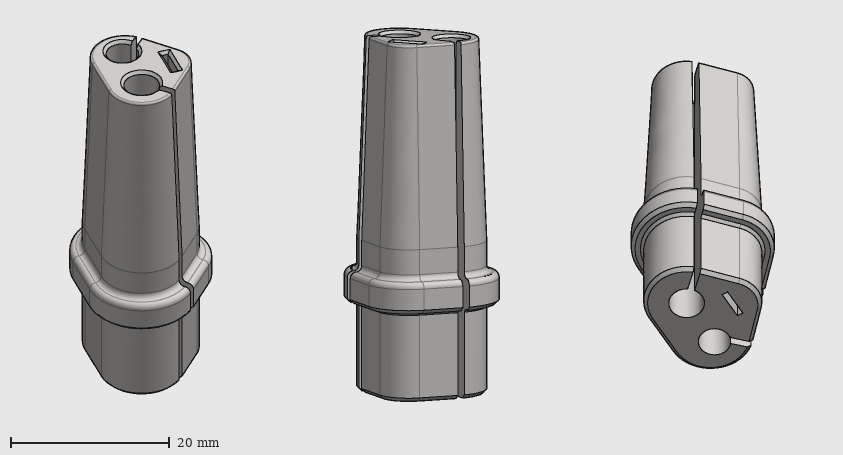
import cadquery as cq
import math

LOWER_CENTER_X = 3.0
LOWER_RADIUS = 5.42
UPPER_CENTER_Y = 4.575
UPPER_RADIUS = 4.02

TOTAL_HEIGHT = 45.5
TAPER_START = 19.5
TAPER_INSET = 1.02

FLANGE_BOTTOM = 11.5
FLANGE_TOP = 15.5
FLANGE_OVERHANG = 1.58
FLANGE_TOP_FILLET = FLANGE_OVERHANG / 2
FLANGE_LOWER_CHAMFER = 0.5
FLANGE_ROOT_CHAMFER = 0.4

BOTTOM_CHAMFER = 0.5
TOP_FILLET = 0.3

CABLE_HOLES = [(-4.0, 4.1), (3.0, 4.5)]
HOLE_CHAMFER = 0.4

ENTRY_SLOT_WIDTH = 0.9
ENTRY_SLOT_ANGLE = 45.0
ENTRY_SLOT_REACH = 12.0

STRAP_CENTER_Y = 4.95
STRAP_LENGTH = 3.8
STRAP_WIDTH = 0.8
STRAP_CHAMFER = 0.4


def outline(offset, height):
    """Closed rounded-triangle outline at the given height, grown outward by offset."""
    lower_radius = LOWER_RADIUS + offset
    upper_radius = UPPER_RADIUS + offset
    spacing = math.hypot(LOWER_CENTER_X, UPPER_CENTER_Y)
    toward_upper = math.atan2(UPPER_CENTER_Y, -LOWER_CENTER_X)
    normal = toward_upper - math.acos((LOWER_RADIUS - UPPER_RADIUS) / spacing)
    lower_middle_angle = (normal - math.pi / 2) / 2

    def lower_point(angle):
        return (LOWER_CENTER_X + lower_radius * math.cos(angle), lower_radius * math.sin(angle))

    def mirrored(point):
        return (-point[0], point[1])

    upper_point = (upper_radius * math.cos(normal), UPPER_CENTER_Y + upper_radius * math.sin(normal))
    side_start = lower_point(normal)
    side_middle = lower_point(lower_middle_angle)
    base_end = lower_point(-math.pi / 2)
    return (
        cq.Workplane("XY", origin=(0, 0, height))
        .moveTo(*mirrored(base_end))
        .lineTo(*base_end)
        .threePointArc(side_middle, side_start)
        .lineTo(*upper_point)
        .threePointArc((0, UPPER_CENTER_Y + upper_radius), mirrored(upper_point))
        .lineTo(*mirrored(side_start))
        .threePointArc(mirrored(side_middle), mirrored(base_end))
        .close()
    )


def frustum(bottom_offset, bottom, top_offset, top):
    """Solid whose outline changes evenly from one offset to another."""
    wires = [outline(bottom_offset, bottom).val(), outline(top_offset, top).val()]
    return cq.Workplane(cq.Solid.makeLoft(wires, True))


def make_body():
    """Straight shank with a chamfered bottom and a tapered, rounded upper part."""
    straight = outline(0, 0).extrude(TAPER_START).faces("<Z").chamfer(BOTTOM_CHAMFER)
    tapered = frustum(0, TAPER_START, -TAPER_INSET, TOTAL_HEIGHT).faces(">Z").edges().fillet(TOP_FILLET)
    return straight.union(tapered)


def make_flange():
    """Collar plate with its rounded upper edge, chamfered lower edge and lower root."""
    plate = outline(FLANGE_OVERHANG, FLANGE_BOTTOM).extrude(FLANGE_TOP - FLANGE_BOTTOM)
    plate = plate.faces("<Z").chamfer(FLANGE_LOWER_CHAMFER)
    plate = plate.faces(">Z").edges().fillet(FLANGE_TOP_FILLET)
    lower_root = frustum(0, FLANGE_BOTTOM - FLANGE_ROOT_CHAMFER, FLANGE_ROOT_CHAMFER, FLANGE_BOTTOM)
    return plate.union(lower_root)


def make_upper_root():
    """Concave fillet between the top of the flange and the body."""
    collar = outline(FLANGE_TOP_FILLET, FLANGE_TOP).extrude(FLANGE_TOP_FILLET)
    groove_y = -LOWER_RADIUS - FLANGE_TOP_FILLET
    groove_z = FLANGE_TOP + FLANGE_TOP_FILLET
    groove_path = outline(FLANGE_TOP_FILLET, groove_z)
    groove = (
        cq.Workplane("YZ")
        .center(groove_y, groove_z)
        .circle(FLANGE_TOP_FILLET)
        .sweep(groove_path)
    )
    return collar.cut(groove)


def make_cable_hole(center_x, diameter):
    """Through bore, chamfered at its upper end."""
    radius = diameter / 2
    bore = cq.Workplane("XY").center(center_x, 0).circle(radius).extrude(TOTAL_HEIGHT)
    chamfer_base = cq.Vector(center_x, 0, TOTAL_HEIGHT - HOLE_CHAMFER)
    chamfer = cq.Solid.makeCone(radius, radius + HOLE_CHAMFER, HOLE_CHAMFER, chamfer_base)
    return bore.union(cq.Workplane(chamfer))


def make_entry_slot(side):
    """Full-height slot running diagonally outward from a lower corner; side is -1 or +1."""
    angle = ENTRY_SLOT_ANGLE if side > 0 else 180 - ENTRY_SLOT_ANGLE
    return (
        cq.Workplane("XY")
        .center(side * LOWER_CENTER_X, 0)
        .transformed(rotate=(0, 0, angle))
        .center(ENTRY_SLOT_REACH / 2, 0)
        .rect(ENTRY_SLOT_REACH, ENTRY_SLOT_WIDTH)
        .extrude(TOTAL_HEIGHT)
    )


def make_strap_slot():
    """Rectangular through slot, chamfered at its upper end."""
    slot = cq.Workplane("XY").center(0, STRAP_CENTER_Y).rect(STRAP_LENGTH, STRAP_WIDTH).extrude(TOTAL_HEIGHT)
    chamfer = (
        cq.Workplane("XY", origin=(0, STRAP_CENTER_Y, TOTAL_HEIGHT - STRAP_CHAMFER))
        .rect(STRAP_LENGTH, STRAP_WIDTH)
        .workplane(offset=STRAP_CHAMFER)
        .rect(STRAP_LENGTH + 2 * STRAP_CHAMFER, STRAP_WIDTH + 2 * STRAP_CHAMFER)
        .loft(ruled=True)
    )
    return slot.union(chamfer)


result = make_body().union(make_flange()).union(make_upper_root())
for hole_x, hole_diameter in CABLE_HOLES:
    result = result.cut(make_cable_hole(hole_x, hole_diameter))
for slot_side in (-1, 1):
    result = result.cut(make_entry_slot(slot_side))
result = result.cut(make_strap_slot())